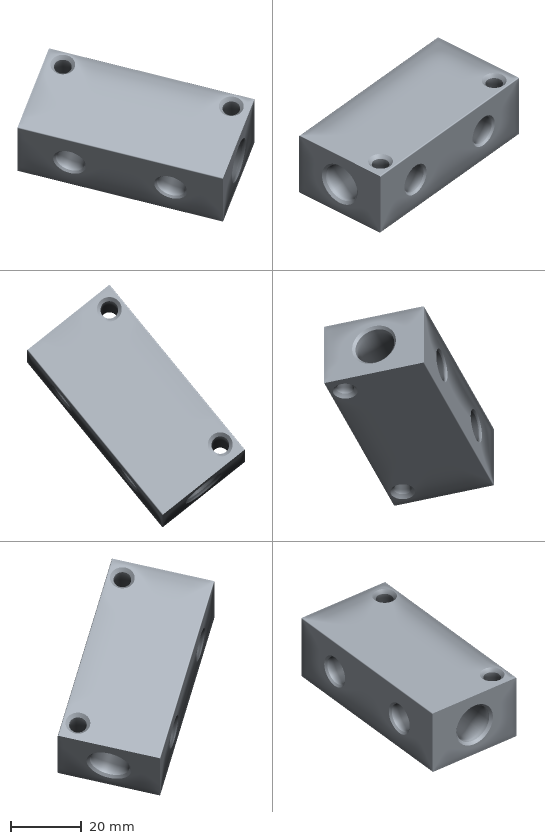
import cadquery as cq

length = 61.0
width = 30.0
height = 20.0
edge_radius = 0.3

main_bore_diameter = 11.6
main_bore_mouth = 13.1

port_spacing = 30.0
port_diameter = 8.55
port_mouth = 9.75

mount_spacing = 50.0
mount_back_offset = 4.5
mount_diameter = 5.0
mount_mouth = 7.0


def flared_hole(diameter, mouth, depth):
    """Cutter along Z, centred on the origin, with a 45 degree flare at each end."""
    radius = diameter / 2
    mouth_radius = mouth / 2
    flare = mouth_radius - radius
    end = depth / 2
    return (
        cq.Workplane("XZ")
        .moveTo(0, -end)
        .lineTo(mouth_radius, -end)
        .lineTo(radius, flare - end)
        .lineTo(radius, end - flare)
        .lineTo(mouth_radius, end)
        .lineTo(0, end)
        .close()
        .revolve(360, (0, 0), (0, 1))
    )


def block():
    return cq.Workplane("XY").box(length, width, height).edges("|X").fillet(edge_radius)


main_bore = flared_hole(main_bore_diameter, main_bore_mouth, length).rotate((0, 0, 0), (0, 1, 0), 90)
port = flared_hole(port_diameter, port_mouth, width).rotate((0, 0, 0), (1, 0, 0), 90)
mount = flared_hole(mount_diameter, mount_mouth, height)
mount_y = width / 2 - mount_back_offset

result = block().cut(main_bore)
for side in (-1, 1):
    result = result.cut(port.translate((side * port_spacing / 2, 0, 0)))
    result = result.cut(mount.translate((side * mount_spacing / 2, mount_y, 0)))